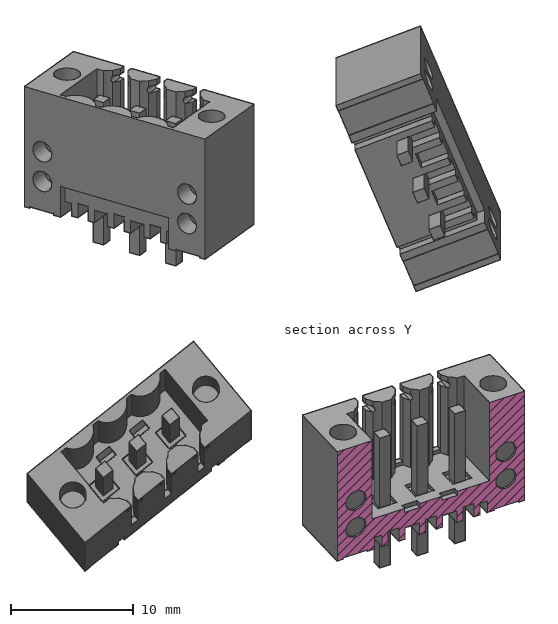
import cadquery as cq
import math


LENGTH = 17.5
DEPTH = 7.45
HEIGHT = 11.02

PIN_COUNT = 3
PITCH = 3.5
PIN_SIZE = 1.0
PIN_Y = 3.5
PIN_TOP = HEIGHT - 1.19
PIN_BOTTOM = -3.22
PIN_FRONT_Y = PIN_Y - PIN_SIZE / 2
PIN_XS = [(i - (PIN_COUNT - 1) / 2) * PITCH for i in range(PIN_COUNT)]
GAP_XS = [(left + right) / 2 for left, right in zip(PIN_XS, PIN_XS[1:])]

CAVITY_LENGTH = 10.92
CAVITY_FRONT_Y = 0.35
CAVITY_BACK_Y = 5.85
FLOOR_Z = 3.15
LOBE_RADIUS = 1.65
LOBE_Y = 4.85
BUMP_Y = -0.47
VALLEY_Y = 0.25
NECK_Y = 6.95
NECK_WIDTH = 0.7
SLOT_FLOOR_Z = FLOOR_Z + 0.35
FLANK_HALF_WIDTH = 0.74

LATCH_LENGTH = 1.72
LATCH_EDGE_LENGTH = 1.4
LATCH_HEIGHT = 0.6
LATCH_Z = HEIGHT - 0.82

PIN_RECESS_SIZE = 1.77
PIN_RECESS_DEPTH = 0.35
KEY_WIDTH = 1.4
KEY_FRONT_Y = 1.15
KEY_SLOPE_Y = 1.55
KEY_BACK_Y = 2.03
KEY_DEPTH = 0.4

FLANGE_HOLE_X = 7.0
SCREW_HOLE_DIAMETER = 2.19
SCREW_HOLE_Y = 3.75
SCREW_HOLE_DEPTH = 3.5
FRONT_HOLE_DIAMETER = 1.82
FRONT_HOLE_DEPTH = 1.75
FRONT_HOLE_ZS = [2.8, 5.51]

RECESS_LENGTH = 10.46
RECESS_HEIGHT = 2.84
RECESS_DEPTH = 0.66
FOOT_LENGTH = 9.19
FOOT_HEIGHT = 1.15
NOTCH_WIDTH = 1.3
PIN_SLOT_HEIGHT = 1.33
GROOVE_X = 7.07
GROOVE_WIDTH = 2.31
GROOVE_HEIGHT = 0.12


def box(x_range, y_range, z_range):
    """Axis-aligned box between the given limits."""
    sizes = [high - low for low, high in (x_range, y_range, z_range)]
    corner = (x_range[0], y_range[0], z_range[0])
    return cq.Workplane("XY").box(*sizes, centered=False).translate(corner)


def centered(middle, size):
    """Limits of a span of the given size about its middle."""
    return (middle - size / 2, middle + size / 2)


def back_bay(x):
    """Cavity bay behind a pin: round lobe, slanted neck, and narrow slot through the back."""
    lobe_half_width = math.sqrt(LOBE_RADIUS**2 - (CAVITY_BACK_Y - LOBE_Y) ** 2)
    flank_y = LOBE_Y + math.sqrt(LOBE_RADIUS**2 - FLANK_HALF_WIDTH**2)
    bay_height = HEIGHT - FLOOR_Z
    lobe = (
        cq.Workplane("XY", origin=(x, LOBE_Y, FLOOR_Z))
        .circle(LOBE_RADIUS)
        .extrude(bay_height)
        .intersect(box(centered(x, 2 * lobe_half_width), (LOBE_Y, flank_y), (FLOOR_Z, HEIGHT)))
    )
    neck = (
        cq.Workplane("XY", origin=(x, 0, FLOOR_Z))
        .polyline([
            (-FLANK_HALF_WIDTH, flank_y),
            (FLANK_HALF_WIDTH, flank_y),
            (NECK_WIDTH / 2, NECK_Y),
            (-NECK_WIDTH / 2, NECK_Y),
        ])
        .close()
        .extrude(bay_height)
    )
    slot = box(centered(x, NECK_WIDTH), (NECK_Y, DEPTH), (SLOT_FLOOR_Z, HEIGHT))
    return lobe.union(neck).union(slot)


def latch_opening(x):
    """Opening with bowed ends from the back face into the bay."""
    edge_x = LATCH_EDGE_LENGTH / 2
    end_x = LATCH_LENGTH / 2
    top = LATCH_HEIGHT / 2
    return (
        cq.Workplane("XZ", origin=(x, DEPTH, LATCH_Z))
        .moveTo(-edge_x, -top)
        .lineTo(edge_x, -top)
        .threePointArc((end_x, 0), (edge_x, top))
        .lineTo(-edge_x, top)
        .threePointArc((-end_x, 0), (-edge_x, -top))
        .close()
        .extrude(DEPTH - CAVITY_BACK_Y)
    )


def cavity():
    """Plug cavity with round ribs along the front and a bay behind each pin."""
    z_range = (FLOOR_Z, HEIGHT)
    space = box(centered(0, CAVITY_LENGTH), (CAVITY_FRONT_Y, CAVITY_BACK_Y), z_range)
    for x in GAP_XS:
        space = space.union(box(centered(x, PITCH), (VALLEY_Y, CAVITY_BACK_Y), z_range))
    for x in PIN_XS:
        rib = (
            cq.Workplane("XY", origin=(x, BUMP_Y, FLOOR_Z))
            .circle(LOBE_RADIUS)
            .extrude(HEIGHT - FLOOR_Z)
        )
        space = space.cut(rib)
    for x in PIN_XS:
        space = space.union(back_bay(x))
    return space


def key_recess(x):
    """Floor recess whose front wall slopes down to a flat bottom."""
    bottom_z = FLOOR_Z - KEY_DEPTH
    return (
        cq.Workplane("YZ", origin=(x - KEY_WIDTH / 2, 0, 0))
        .polyline([
            (KEY_FRONT_Y, FLOOR_Z),
            (KEY_SLOPE_Y, bottom_z),
            (KEY_BACK_Y, bottom_z),
            (KEY_BACK_Y, FLOOR_Z),
        ])
        .close()
        .extrude(KEY_WIDTH)
    )


def cut_floor(body):
    """Square recesses around the pins, and a key recess between neighbouring pins."""
    for x in PIN_XS:
        body = body.cut(box(
            centered(x, PIN_RECESS_SIZE),
            centered(PIN_Y, PIN_RECESS_SIZE),
            (FLOOR_Z - PIN_RECESS_DEPTH, FLOOR_Z),
        ))
    for x in GAP_XS:
        body = body.cut(key_recess(x))
    return body


def cut_flange_holes(body):
    """Blind screw hole from the top and two blind front holes in each end flange."""
    for x in (-FLANGE_HOLE_X, FLANGE_HOLE_X):
        screw_hole = (
            cq.Workplane("XY", origin=(x, SCREW_HOLE_Y, HEIGHT))
            .circle(SCREW_HOLE_DIAMETER / 2)
            .extrude(-SCREW_HOLE_DEPTH)
        )
        body = body.cut(screw_hole)
        for z in FRONT_HOLE_ZS:
            front_hole = (
                cq.Workplane("XZ", origin=(x, 0, z))
                .circle(FRONT_HOLE_DIAMETER / 2)
                .extrude(-FRONT_HOLE_DEPTH)
            )
            body = body.cut(front_hole)
    return body


def cut_underside(body):
    """Front recess, comb-like standoff strip, and shallow grooves under the flanges."""
    body = body.cut(box(centered(0, RECESS_LENGTH), (0, RECESS_DEPTH), (0, RECESS_HEIGHT)))
    end_gap = (RECESS_LENGTH - FOOT_LENGTH) / 2
    end_gap_x = (RECESS_LENGTH + FOOT_LENGTH) / 4
    for side in (-1, 1):
        body = body.cut(box(centered(side * end_gap_x, end_gap), (0, DEPTH), (0, FOOT_HEIGHT)))
        body = body.cut(box(centered(side * GROOVE_X, GROOVE_WIDTH), (0, DEPTH), (0, GROOVE_HEIGHT)))
    for x in GAP_XS:
        body = body.cut(box(centered(x, NOTCH_WIDTH), (RECESS_DEPTH, PIN_FRONT_Y), (0, FOOT_HEIGHT)))
    for x in PIN_XS:
        body = body.cut(box(centered(x, PIN_SIZE), (RECESS_DEPTH, PIN_FRONT_Y), (0, PIN_SLOT_HEIGHT)))
    return body


def make_pin(x):
    """Straight square pin."""
    return box(centered(x, PIN_SIZE), centered(PIN_Y, PIN_SIZE), (PIN_BOTTOM, PIN_TOP))


def make_housing():
    """Housing with its cavity, latch openings, flange holes, underside and pin holes."""
    body = box(centered(0, LENGTH), (0, DEPTH), (0, HEIGHT)).cut(cavity())
    for x in PIN_XS:
        body = body.cut(latch_opening(x))
    body = cut_floor(body)
    body = cut_flange_holes(body)
    body = cut_underside(body)
    for x in PIN_XS:
        body = body.cut(make_pin(x))
    return body


housing = make_housing()
pins = [make_pin(x) for x in PIN_XS]

result = cq.Compound.makeCompound([housing.solids().val(), *[pin.val() for pin in pins]])